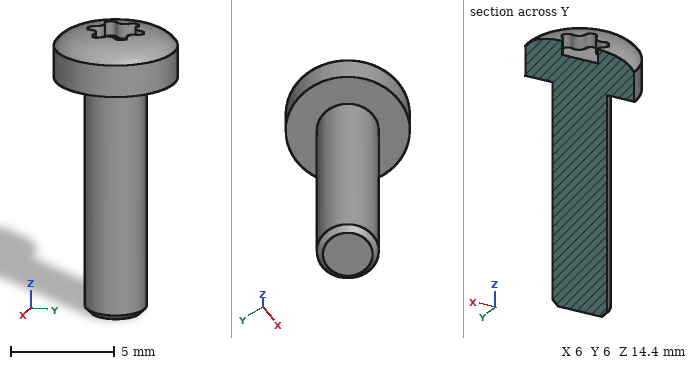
import cadquery as cq
import math

total_length = 14.37
head_radius = 6.0 / 2
shank_radius = head_radius / 2
shank_length = 12.0
tip_chamfer = 0.3

head_top = total_length - shank_length
dome_height = 0.76
rim_height = head_top - dome_height
crown_radius = 1.95
crown_drop = 0.11
rim_slope = 57

lobe_count = 6
lobe_reach = 1.42
lobe_radius = 0.29
valley_reach = 0.98
recess_depth = 0.75
recess_floor = head_top - recess_depth


def polar(radius, angle):
    """Point at the given radius and angle (radians) about the origin."""
    return (radius * math.cos(angle), radius * math.sin(angle))


def make_body():
    """Revolve the half profile of the shank and the domed head."""
    rim_tangent = polar(1, math.pi - math.radians(rim_slope))
    return (
        cq.Workplane("XZ")
        .moveTo(0, -shank_length)
        .lineTo(shank_radius - tip_chamfer, -shank_length)
        .lineTo(shank_radius, -shank_length + tip_chamfer)
        .lineTo(shank_radius, 0)
        .lineTo(head_radius, 0)
        .lineTo(head_radius, rim_height)
        .spline(
            [(crown_radius, head_top - crown_drop), (0, head_top)],
            tangents=[rim_tangent, (-1, 0)],
            includeCurrent=True,
        )
        .close()
        .revolve(360, (0, 0, 0), (0, 1, 0))
    )


def make_recess():
    """Six-lobe prism reaching clear of the dome, with tangent lobe and valley arcs, one lobe along +Y."""
    half_pitch = math.pi / lobe_count
    lobe_center = lobe_reach - lobe_radius

    across = lobe_center * math.cos(half_pitch)
    valley_radius = (
        (lobe_center**2 + valley_reach**2 - 2 * across * valley_reach - lobe_radius**2)
        / (2 * (lobe_radius + across - valley_reach))
    )
    valley_center = valley_reach + valley_radius

    share = lobe_radius / (lobe_radius + valley_radius)
    joint_x = lobe_center + share * (valley_center * math.cos(half_pitch) - lobe_center)
    joint_y = share * valley_center * math.sin(half_pitch)
    joint_reach = math.hypot(joint_x, joint_y)
    joint_angle = math.atan2(joint_y, joint_x)

    first_lobe = math.pi / 2
    outline = cq.Workplane("XY", origin=(0, 0, recess_floor))
    outline = outline.moveTo(*polar(joint_reach, first_lobe - joint_angle))
    for index in range(lobe_count):
        lobe_angle = first_lobe + 2 * half_pitch * index
        next_lobe = lobe_angle + 2 * half_pitch
        outline = outline.threePointArc(
            polar(lobe_reach, lobe_angle), polar(joint_reach, lobe_angle + joint_angle)
        )
        outline = outline.threePointArc(
            polar(valley_reach, lobe_angle + half_pitch), polar(joint_reach, next_lobe - joint_angle)
        )
    return outline.close().extrude(2 * recess_depth)


result = make_body().cut(make_recess())